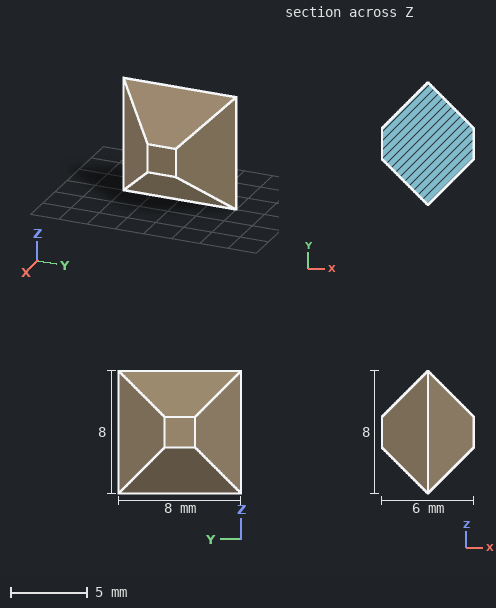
import cadquery as cq

base_side = 8.0
tip_side = 2.0
half_depth = (base_side - tip_side) / 2


def truncated_pyramid(end_x):
    """Square frustum from the rim at X = 0 to the flat tip at end_x."""
    return (
        cq.Workplane("YZ")
        .rect(base_side, base_side)
        .workplane(offset=end_x)
        .rect(tip_side, tip_side)
        .loft(ruled=True)
    )


result = truncated_pyramid(-half_depth).union(truncated_pyramid(half_depth))